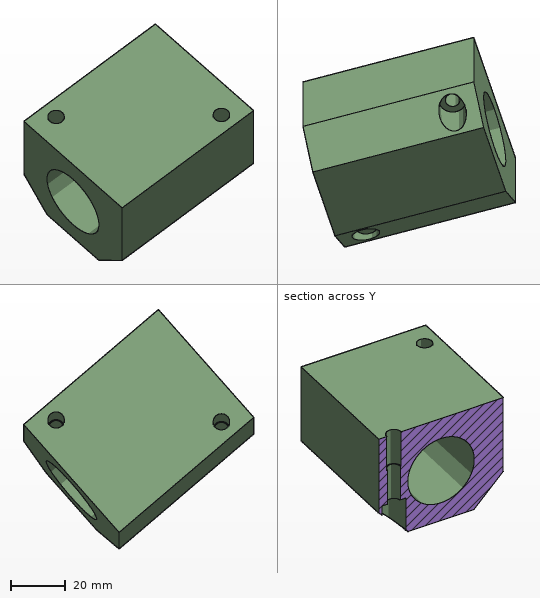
import cadquery as cq

WIDTH = 53.0
LENGTH = 65.0
HEIGHT = 45.0
BORE_DIAMETER = 28.0
BORE_HEIGHT = 22.0
CHAMFER = (WIDTH - BORE_DIAMETER) / 2

SCREW_X = 20.0
SCREW_Y = 22.5
THREAD_DIAMETER = 6.0
THREAD_DEPTH = 15.0
CORE_DIAMETER = 5.3
HEAD_DIAMETER = 10.0
HEAD_SEAT_HEIGHT = 15.0


def make_block():
    """Block with its two lower long edges chamfered."""
    block = cq.Workplane("XY").box(WIDTH, LENGTH, HEIGHT, centered=(True, True, False))
    return block.faces("<Z").edges("|Y").chamfer(CHAMFER)


def make_bore():
    """Main bore along the full length."""
    bore = cq.Workplane("XZ").center(0, BORE_HEIGHT).circle(BORE_DIAMETER / 2)
    return bore.extrude(LENGTH / 2, both=True)


def vertical_cylinder(x, y, diameter, bottom, top):
    """Upright cylinder between two heights."""
    base = cq.Workplane("XY", origin=(x, y, bottom))
    return base.circle(diameter / 2).extrude(top - bottom)


def make_screw_hole(x, y):
    """Stepped through hole: head recess below, core, wider thread at the top."""
    core = vertical_cylinder(x, y, CORE_DIAMETER, 0, HEIGHT)
    thread = vertical_cylinder(x, y, THREAD_DIAMETER, HEIGHT - THREAD_DEPTH, HEIGHT)
    head = vertical_cylinder(x, y, HEAD_DIAMETER, 0, HEAD_SEAT_HEIGHT)
    return core.union(thread).union(head)


result = make_block().cut(make_bore())
for side in (-1, 1):
    result = result.cut(make_screw_hole(side * SCREW_X, side * SCREW_Y))